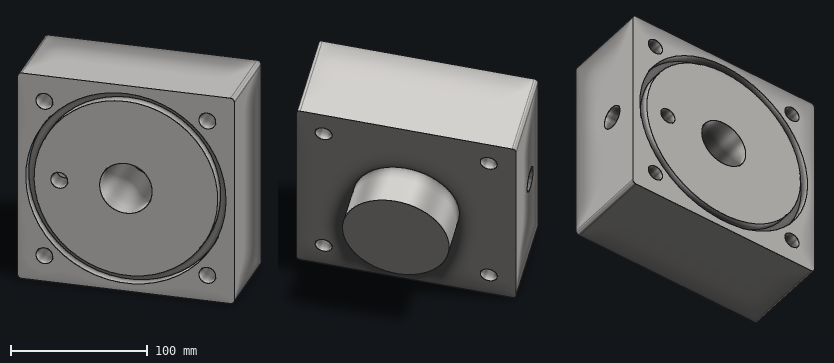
import cadquery as cq

side = 165.1
overall_depth = 102.9
block_depth = 70.0
corner_radius = 3.0

boss_diameter = 80.0
boss_length = overall_depth - block_depth

groove_outer_diameter = 152.4
groove_inner_diameter = 139.7
groove_depth = 8.0

bore_diameter = 40.0
bore_depth = block_depth

mount_diameter = 12.7
mount_spacing = 124.0

port_diameter = 19.0
port_axis_depth = 25.5
port_length = 41.3
passage_diameter = 12.7
passage_offset = 50.7


def cylinder_along_y(diameter, start, length, x=0, z=0):
    """Solid cylinder running in +Y from y = start."""
    axis = cq.Vector(0, 1, 0)
    return cq.Workplane(cq.Solid.makeCylinder(diameter / 2, length, cq.Vector(x, start, z), axis))


def make_body():
    block = (
        cq.Workplane("XY")
        .box(side, block_depth, side, centered=(True, False, True))
        .edges("|Y")
        .fillet(corner_radius)
    )
    return block.union(cylinder_along_y(boss_diameter, block_depth, boss_length))


def make_groove():
    disc = cylinder_along_y(groove_outer_diameter, 0, groove_depth)
    return disc.cut(cylinder_along_y(groove_inner_diameter, 0, groove_depth))


def make_port():
    start = cq.Vector(-side / 2, port_axis_depth, 0)
    return cq.Workplane(cq.Solid.makeCylinder(port_diameter / 2, port_length, start, cq.Vector(1, 0, 0)))


result = make_body().cut(make_groove())
result = result.cut(cylinder_along_y(bore_diameter, 0, bore_depth))

for x_sign in (-1, 1):
    for z_sign in (-1, 1):
        x = x_sign * mount_spacing / 2
        z = z_sign * mount_spacing / 2
        result = result.cut(cylinder_along_y(mount_diameter, 0, block_depth, x, z))

result = result.cut(make_port())

result = result.cut(cylinder_along_y(passage_diameter, 0, port_axis_depth, -passage_offset))